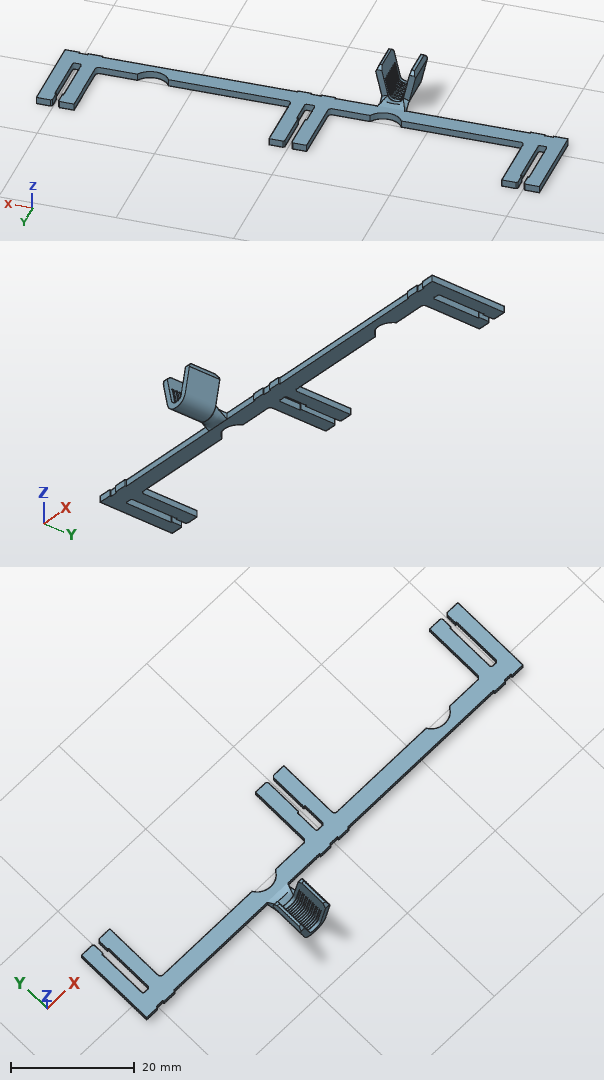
import cadquery as cq
import math

length = 85.7
sheet = 1.2
strip_width = 3.1

prong_length = 11.65
prong_width = 6.4
prong_pitch = (length - prong_width) / 2
prong_root_radius = 0.6
tip_chamfer = 0.25
foot_height = 0.25
end_slot_width = 1.45
end_throat_width = 1.0
end_throat_length = 2.2
mid_slot_width = 1.7
mid_throat_width = 1.2
mid_throat_length = 7.3
slot_corner_radius = 0.3

first_notch_x = 30.0 - length / 2
notch_width = 5.3
notch_depth = 1.5
notch_radius = (notch_width**2 / 4 + notch_depth**2) / (2 * notch_depth)

clip_offset = 0.1
clip_x = first_notch_x + clip_offset
clip_length = 6.3
clip_height = 7.3
clip_wall = 1.1
floor_half_width = 0.25
outer_radius = 2.1
inner_radius = outer_radius - clip_wall
arm_angle = math.radians(13)
bevel_height = 1.1
tip_land = 0.5
tip_corner_height = 0.7
tip_corner_length = 0.8
neck_length = 2.3
neck_half_width = 2.3
neck_end_height = 2.05
neck_ridge_height = 1.4
clip_start_y = -neck_length

groove_count = 7
groove_pitch = 0.8
groove_width = 0.385
groove_depth = 0.25
groove_top = 4.7


def block(x_min, x_max, y_min, y_max):
    """Rectangle of sheet standing on z = 0."""
    box = cq.Workplane("XY").box(x_max - x_min, y_max - y_min, sheet, centered=False)
    return box.translate((x_min, y_min, 0))


def arm_half_width(radius, z):
    """Half width at height z of the straight U arm tangent to an arc of this radius."""
    arm_offset = radius / math.cos(arm_angle) + (z - outer_radius) * math.tan(arm_angle)
    return floor_half_width + arm_offset


def tangent_point(radius):
    """Point where the +X arm leaves its bottom arc."""
    return (
        floor_half_width + radius * math.cos(arm_angle),
        outer_radius - radius * math.sin(arm_angle),
    )


def arc_middle(radius):
    """Middle point of the bottom arc on the +X side."""
    mid_angle = (math.pi / 2 + arm_angle) / 2
    return (
        floor_half_width + radius * math.cos(mid_angle),
        outer_radius - radius * math.sin(mid_angle),
    )


def mirrored(point):
    return (-point[0], point[1])


def filled_u(radius, top):
    """Profile of a solid U up to a given height, on the XZ plane."""
    corner = (arm_half_width(radius, top), top)
    arc_end = tangent_point(radius)
    arc_mid = arc_middle(radius)
    bottom = outer_radius - radius
    return (
        cq.Workplane("XZ")
        .moveTo(*mirrored(corner))
        .lineTo(*mirrored(arc_end))
        .threePointArc(mirrored(arc_mid), (-floor_half_width, bottom))
        .lineTo(floor_half_width, bottom)
        .threePointArc(arc_mid, arc_end)
        .lineTo(*corner)
        .close()
    )


def corner_box(x, y):
    """Selector for the vertical sheet edge at a corner of the flat outline."""
    reach = sheet / 2
    return cq.selectors.BoxSelector((x - reach, y - reach, 0), (x + reach, y + reach, sheet))


def add_prong(body, x, slot_width, throat_width, throat_length):
    """Forked prong centred on x with two feet on the rear edge."""
    half = prong_width / 2
    tip_y = strip_width + prong_length
    body = body.union(block(x - half, x + half, -foot_height, tip_y))

    for side in (-1, 1):
        edge_x = x + side * half
        if abs(edge_x) < length / 2 - prong_root_radius:
            corner = corner_box(edge_x, strip_width)
            body = body.edges("|Z").edges(corner).fillet(prong_root_radius)

    slot = block(x - slot_width / 2, x + slot_width / 2, strip_width, tip_y - throat_length)
    slot = slot.edges("|Z and <Y").fillet(slot_corner_radius)
    throat = block(x - throat_width / 2, x + throat_width / 2, tip_y - throat_length, tip_y)
    mouth_half = throat_width / 2 + tip_chamfer
    mouth = (
        cq.Workplane("XY")
        .polyline([
            (x - mouth_half, tip_y),
            (x - throat_width / 2, tip_y - tip_chamfer),
            (x + throat_width / 2, tip_y - tip_chamfer),
            (x + mouth_half, tip_y),
        ])
        .close()
        .extrude(sheet)
    )
    foot_gap = block(x - slot_width / 2, x + slot_width / 2, -foot_height, 0)
    return body.cut(slot).cut(throat).cut(mouth).cut(foot_gap)


def make_strip():
    strip = block(-length / 2, length / 2, 0, strip_width)
    end_slot = (end_slot_width, end_throat_width, end_throat_length)
    strip = add_prong(strip, -prong_pitch, *end_slot)
    strip = add_prong(strip, 0, mid_slot_width, mid_throat_width, mid_throat_length)
    strip = add_prong(strip, prong_pitch, *end_slot)
    notch_y = strip_width - notch_depth + notch_radius
    notches = (
        cq.Workplane("XY")
        .pushPoints([(first_notch_x, notch_y), (first_notch_x + prong_pitch, notch_y)])
        .circle(notch_radius)
        .extrude(sheet)
    )
    return strip.cut(notches)


def make_clip():
    """Crimp clip centred on x = 0."""
    clip = filled_u(outer_radius, clip_height).extrude(clip_length)
    clip = clip.cut(filled_u(inner_radius, clip_height).extrude(clip_length))

    bevel_base = clip_height - bevel_height
    outside = arm_half_width(outer_radius, clip_height)
    inner_tip = arm_half_width(inner_radius, clip_height)
    land_edge = inner_tip + tip_land * math.cos(arm_angle)
    land_height = clip_height - tip_land * math.sin(arm_angle)
    for side in (-1, 1):
        bevel = (
            cq.Workplane("XZ")
            .polyline([
                (side * arm_half_width(outer_radius, bevel_base), bevel_base),
                (side * land_edge, land_height),
                (side * inner_tip, clip_height),
                (side * outside, clip_height),
            ])
            .close()
            .extrude(clip_length)
        )
        clip = clip.cut(bevel)

    for end_y, inward in ((0, -1), (-clip_length, 1)):
        corner = (
            cq.Workplane("YZ")
            .polyline([
                (end_y, clip_height),
                (end_y + inward * tip_corner_length, clip_height),
                (end_y, clip_height - tip_corner_height),
            ])
            .close()
            .extrude(outside, both=True)
        )
        clip = clip.cut(corner)

    groove = filled_u(inner_radius + groove_depth, groove_top).extrude(groove_width)
    first_groove = (clip_length - (groove_count - 1) * groove_pitch - groove_width) / 2
    for index in range(groove_count):
        clip = clip.cut(groove.translate((0, -first_groove - index * groove_pitch, 0)))
    return clip.translate((clip_x, clip_start_y, 0))


def midpoint(first, second):
    return ((first[0] + second[0]) / 2, (first[1] + second[1]) / 2)


def draw_neck_section(plane, lower, rim, floor_height):
    """Neck section with a curved underside, sloping sides and a curved floor between the rims."""
    return (
        plane.moveTo(*mirrored(lower))
        .threePointArc((0, 0), lower)
        .lineTo(*rim)
        .threePointArc((0, floor_height), mirrored(rim))
        .close()
    )


def make_neck():
    """Blend from the flat sheet edge, over a low ridge, to the lower part of the clip section."""
    flat_lower = (neck_half_width, 0)
    flat_rim = (neck_half_width, sheet)
    clip_lower = tangent_point(outer_radius)
    clip_rim = (arm_half_width(inner_radius, neck_end_height), neck_end_height)
    ridge_lower = midpoint(flat_lower, clip_lower)
    ridge_rim = midpoint(flat_rim, clip_rim)

    neck = (
        cq.Workplane("XZ")
        .moveTo(*mirrored(flat_lower))
        .lineTo(*flat_lower)
        .lineTo(*flat_rim)
        .lineTo(*mirrored(flat_rim))
        .close()
        .workplane(offset=neck_length / 2)
    )
    neck = draw_neck_section(neck, ridge_lower, ridge_rim, neck_ridge_height)
    neck = neck.workplane(offset=neck_length / 2)
    neck = draw_neck_section(neck, clip_lower, clip_rim, clip_wall)
    return neck.loft(ruled=True).translate((clip_x, 0, 0))


result = make_strip().union(make_neck()).union(make_clip())